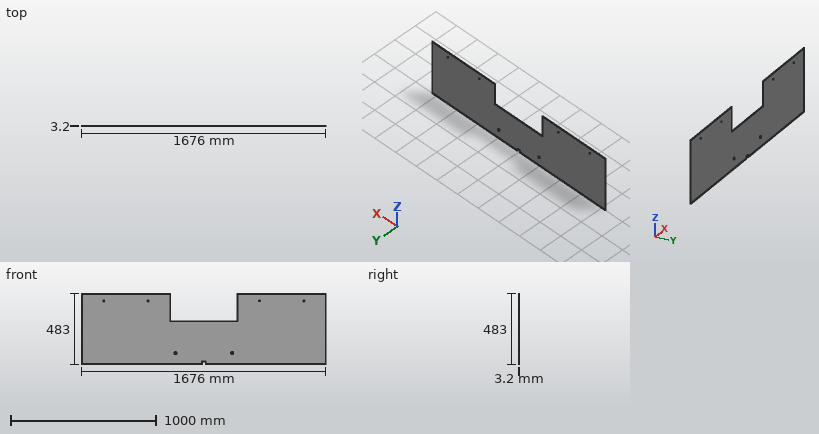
import cadquery as cq

length = 1676.0
thickness = 3.2
height = 483.0

opening_width = 460.0
opening_depth = 188.0

notch_width = 25.0
notch_depth = 17.0

small_hole_diameter = 6.4
small_hole_drop = 49.0
small_hole_offsets = (382.0, 687.0)

large_hole_diameter = 14.2
large_hole_rise = 75.0
large_hole_offset = 195.0

top = height / 2
bottom = -height / 2


def edge_cutout(width, depth, edge_z, inward):
    """Rectangular cutter reaching in from an edge; inward is +1 for up, -1 for down."""
    return cq.Workplane("XY").box(width, thickness, depth).translate((0, 0, edge_z + inward * depth / 2))


def mirrored_holes(panel, diameter, offsets, z):
    """Drill through holes at each offset on both sides of the centreline."""
    points = [(side * offset, z) for offset in offsets for side in (-1, 1)]
    drills = cq.Workplane("XZ").pushPoints(points).circle(diameter / 2).extrude(thickness, both=True)
    return panel.cut(drills)


panel = cq.Workplane("XY").box(length, thickness, height)
panel = panel.cut(edge_cutout(opening_width, opening_depth, top, -1))
panel = panel.cut(edge_cutout(notch_width, notch_depth, bottom, 1))
panel = mirrored_holes(panel, small_hole_diameter, small_hole_offsets, top - small_hole_drop)
panel = mirrored_holes(panel, large_hole_diameter, (large_hole_offset,), bottom + large_hole_rise)

result = panel